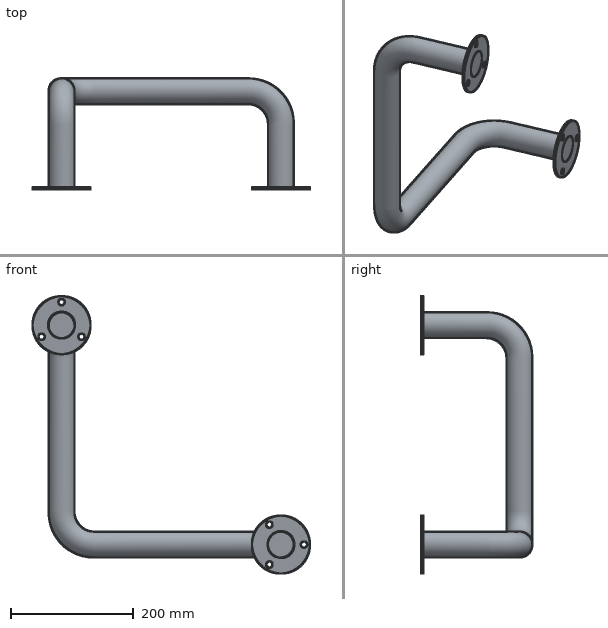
import cadquery as cq
import math

overall_length = 452.5
overall_depth = 181.5

bar_diameter = 42.5
bend_radius = 53.0

flange_diameter = 95.0
flange_thickness = 4.0
rim_chamfer = 1.0
bar_hole_diameter = 43.5
screw_hole_diameter = 10.0
screw_circle_radius = 37.5
screw_count = 3

leg_span = overall_length - flange_diameter
bar_axis_depth = overall_depth - bar_diameter / 2

mounts = [
    ((0, leg_span), 90),
    ((leg_span, 0), 0),
]


def line(start, end):
    return cq.Edge.makeLine(cq.Vector(*start), cq.Vector(*end))


def arc(start, middle, end):
    return cq.Edge.makeThreePointArc(cq.Vector(*start), cq.Vector(*middle), cq.Vector(*end))


def make_bar():
    """Solid round bar: two mounting legs and two arms joined by three equal bends."""
    depth = bar_axis_depth
    leg_end = depth - bend_radius
    arm_end = leg_span - bend_radius
    bend_offset = bend_radius * (1 - math.sqrt(0.5))
    bend_middle = leg_span - bend_offset
    centre_line = cq.Wire.assembleEdges([
        line((0, 0, leg_span), (0, leg_end, leg_span)),
        arc((0, leg_end, leg_span), (0, depth - bend_offset, bend_middle), (0, depth, arm_end)),
        line((0, depth, arm_end), (0, depth, bend_radius)),
        arc((0, depth, bend_radius), (bend_offset, depth, bend_offset), (bend_radius, depth, 0)),
        line((bend_radius, depth, 0), (arm_end, depth, 0)),
        arc((arm_end, depth, 0), (bend_middle, depth - bend_offset, 0), (leg_span, leg_end, 0)),
        line((leg_span, leg_end, 0), (leg_span, 0, 0)),
    ])
    return (
        cq.Workplane("XZ", origin=(0, 0, leg_span))
        .circle(bar_diameter / 2)
        .sweep(centre_line)
    )


def make_flange(centre, first_screw_angle):
    """Round mounting plate with a hole for the bar end and a ring of screw holes."""
    x, z = centre
    plate = (
        cq.Workplane("XZ", origin=(x, 0, z))
        .circle(flange_diameter / 2)
        .extrude(-flange_thickness)
        .faces(">Y")
        .chamfer(rim_chamfer)
    )
    bar_hole = (
        cq.Workplane("XZ", origin=(x, 0, z))
        .circle(bar_hole_diameter / 2)
        .extrude(-flange_thickness)
    )
    screw_holes = (
        cq.Workplane("XZ", origin=(x, 0, z))
        .polarArray(screw_circle_radius, first_screw_angle, 360, screw_count)
        .circle(screw_hole_diameter / 2)
        .extrude(-flange_thickness)
    )
    return plate.cut(bar_hole).cut(screw_holes)


bar = make_bar()
flanges = [make_flange(centre, angle) for centre, angle in mounts]

result = cq.Compound.makeCompound([bar.val(), *[flange.val() for flange in flanges]])